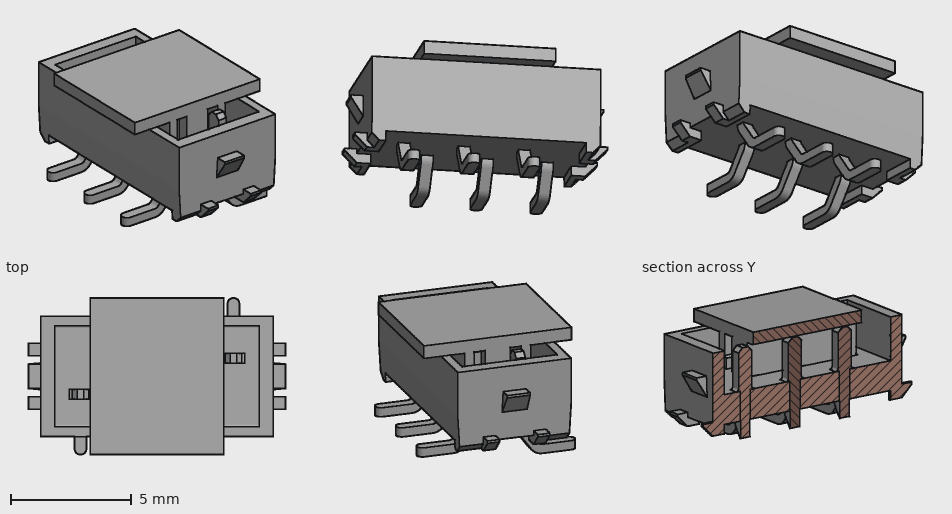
import cadquery as cq
import math


overall_length = 10.65
housing_length = 9.65
housing_width = 5.0
housing_foot_width = 4.8
lug_bottom_z = 1.0
base_z = 1.41
taper_z = 2.6
rim_z = 4.6

cavity_length = 8.46
cavity_width = 4.2
cavity_floor_z = 2.72
cavity_floor_radius = 0.1

lug_gap_width = 1.68
lug_chamfer = 0.31

catch_lip = 0.11
lower_catch_width = 0.53
lower_catch_top_z = 1.61
upper_catch_top_width = 1.0
upper_catch_bottom_width = 1.11
upper_catch_top_z = 3.5

pins_per_row = 3
pin_pitch = 1.27
row_y = 0.75
plate = 0.4
pin_width = 0.5
pin_reach = 3.25
bend_inner_radius = 0.2
strut_angle = 54.0
blade_width = 0.69
blade_top_z = 4.58
blade_chamfer = 0.2
blade_flare_radius = 0.13

cap_length = 5.55
cap_width = 6.5
cap_thickness = 0.55
grip_bottom_z = 3.1
outer_grip_y = 1.45
grip_relief = 0.1
relief_bottom_z = 3.57

half_length = housing_length / 2
half_cavity = cavity_length / 2
catch_reach = overall_length / 2
pin_inner_y = row_y - plate / 2
pin_outer_y = row_y + plate / 2
bend_outer_radius = bend_inner_radius + plate
rear_pins_x = [pin_pitch * (2 * i + 1.5 - pins_per_row) for i in range(pins_per_row)]


def box(x_range, y_range, z_range):
    """Box between the given limits on each axis."""
    (x0, x1), (y0, y1), (z0, z1) = x_range, y_range, z_range
    return cq.Workplane("XY").box(x1 - x0, y1 - y0, z1 - z0, centered=False).translate((x0, y0, z0))


def along_x(points, length):
    """Prism along X, centred on X = 0, from an outline of (y, z) points."""
    return cq.Workplane("YZ").polyline(points).close().extrude(length / 2, both=True)


def along_y(points, width):
    """Prism along Y, centred on Y = 0, from an outline of (x, z) points."""
    return cq.Workplane("XZ").polyline(points).close().extrude(width / 2, both=True)


def on_both_ends(left):
    """The shape at the -X end together with its mirror image at the +X end."""
    return left.union(left.mirror("YZ"))


def make_block():
    """Outer block: upright above, slightly tapered below, with a lug at each corner."""
    top = housing_width / 2
    foot = housing_foot_width / 2
    outline = [
        (-foot, lug_bottom_z),
        (foot, lug_bottom_z),
        (top, taper_z),
        (top, rim_z),
        (-top, rim_z),
        (-top, taper_z),
    ]
    block = along_x(outline, housing_length)
    block = block.faces("<Z").edges("<X or >X").chamfer(lug_chamfer)
    lug_height = (lug_bottom_z, base_z)
    block = block.cut(box((-half_cavity, half_cavity), (-top, top), lug_height))
    return block.cut(box((-half_length, half_length), (-lug_gap_width / 2, lug_gap_width / 2), lug_height))


def make_cavity():
    """Open cavity, rounded where its long walls meet the floor."""
    half_width = cavity_width / 2
    cavity = box((-half_cavity, half_cavity), (-half_width, half_width), (cavity_floor_z, rim_z))
    return cavity.faces("<Z").edges("|X").fillet(cavity_floor_radius)


def make_lower_catch(y):
    """Catch on the -X end of a lug, filling the lug's chamfer."""
    outline = [
        (-half_cavity, lower_catch_top_z),
        (-catch_reach, lower_catch_top_z),
        (-catch_reach, lower_catch_top_z - catch_lip),
        (-half_length, lug_bottom_z),
        (-half_cavity, lug_bottom_z),
    ]
    return along_y(outline, lower_catch_width).translate((0, y, 0))


def make_upper_catch():
    """Catch in the middle of the -X wall, narrower at its top."""
    wedge = along_y(
        [
            (-half_length, upper_catch_top_z),
            (-catch_reach, upper_catch_top_z),
            (-catch_reach, upper_catch_top_z - catch_lip),
            (-half_length, taper_z),
        ],
        upper_catch_bottom_width,
    )
    top = upper_catch_top_width / 2
    bottom = upper_catch_bottom_width / 2
    sides = along_x(
        [(-bottom, taper_z), (bottom, taper_z), (top, upper_catch_top_z), (-top, upper_catch_top_z)],
        overall_length,
    )
    return wedge.intersect(sides)


def in_both_rows(rear_shape):
    """Copies of a shape at every pin place, made for the rear row at X = 0."""
    rear = [rear_shape.translate((x, 0, 0)) for x in rear_pins_x]
    front = [shape.rotate((0, 0, 0), (0, 0, 1), 180) for shape in rear]
    return rear + front


def make_stem_slot():
    """Slot through the housing floor for the stem of a rear pin."""
    half_width = pin_width / 2
    return box((-half_width, half_width), (pin_inner_y, pin_outer_y), (base_z, cavity_floor_z))


def make_housing():
    body = make_block()
    lower_catch_y = (lug_gap_width + lower_catch_width) / 2
    for y in (-lower_catch_y, lower_catch_y):
        body = body.union(on_both_ends(make_lower_catch(y)))
    body = body.union(on_both_ends(make_upper_catch()))
    body = body.cut(make_cavity())
    for slot in in_both_rows(make_stem_slot()):
        body = body.cut(slot)
    return body


def arc_point(center, radius, degrees):
    """Point on a circle, at an angle from the horizontal axis of its upright plane."""
    angle = math.radians(degrees)
    return (center[0] + radius * math.cos(angle), center[1] + radius * math.sin(angle))


def make_pin_leg():
    """Stem, sloping strut and round-ended foot of a rear pin."""
    upper = (pin_outer_y + bend_inner_radius, base_z)
    drop = base_z - bend_outer_radius
    lower = (upper[0] + drop / math.tan(math.radians(strut_angle)), bend_outer_radius)
    stem, strut, foot = 180, 270 - strut_angle, 270
    upper_middle = (stem + strut) / 2
    lower_middle = (strut + foot) / 2
    inner = bend_inner_radius
    outer = bend_outer_radius
    leg = (
        cq.Workplane("YZ")
        .moveTo(pin_inner_y, cavity_floor_z)
        .lineTo(*arc_point(upper, outer, stem))
        .threePointArc(arc_point(upper, outer, upper_middle), arc_point(upper, outer, strut))
        .lineTo(*arc_point(lower, outer, strut))
        .threePointArc(arc_point(lower, outer, lower_middle), arc_point(lower, outer, foot))
        .lineTo(pin_reach, 0)
        .lineTo(pin_reach, plate)
        .lineTo(*arc_point(lower, inner, foot))
        .threePointArc(arc_point(lower, inner, lower_middle), arc_point(lower, inner, strut))
        .lineTo(*arc_point(upper, inner, strut))
        .threePointArc(arc_point(upper, inner, upper_middle), arc_point(upper, inner, stem))
        .lineTo(pin_outer_y, cavity_floor_z)
        .close()
        .extrude(pin_width / 2, both=True)
    )
    tip_radius = pin_width / 2
    tip_y = pin_reach - tip_radius
    square_tip = box((-tip_radius, tip_radius), (tip_y, pin_reach), (0, plate))
    round_tip = cq.Workplane("XY").center(0, tip_y).circle(tip_radius).extrude(plate)
    return leg.cut(square_tip).union(round_tip)


def make_pin_blade():
    """Flat contact blade above the floor, chamfered on top and flared at its foot."""
    half_width = blade_width / 2
    flare = blade_flare_radius
    flare_z = cavity_floor_z + flare
    flare_middle_angle = 225
    flare_middle = arc_point((half_width + flare, flare_z), flare, flare_middle_angle)
    return (
        cq.Workplane("XZ", origin=(0, pin_outer_y, 0))
        .moveTo(-half_width - flare, cavity_floor_z)
        .lineTo(half_width + flare, cavity_floor_z)
        .threePointArc(flare_middle, (half_width, flare_z))
        .lineTo(half_width, blade_top_z - blade_chamfer)
        .lineTo(half_width - blade_chamfer, blade_top_z)
        .lineTo(blade_chamfer - half_width, blade_top_z)
        .lineTo(-half_width, blade_top_z - blade_chamfer)
        .lineTo(-half_width, flare_z)
        .threePointArc((-flare_middle[0], flare_middle[1]), (-half_width - flare, cavity_floor_z))
        .close()
        .extrude(plate)
    )


def make_pin():
    """One pin of the rear row, centred on X = 0."""
    return make_pin_leg().union(make_pin_blade())


def make_outer_grip():
    """Rail of the cap that presses on the outer face of the rear pins, relieved above its grip."""
    relief_y = pin_outer_y + grip_relief
    outline = [
        (pin_outer_y, grip_bottom_z),
        (pin_outer_y, relief_bottom_z),
        (relief_y, relief_bottom_z + grip_relief),
        (relief_y, rim_z),
        (outer_grip_y, rim_z),
        (outer_grip_y, grip_bottom_z),
    ]
    return along_x(outline, cap_length)


def make_cap():
    """Flat plate resting on the rim, with a rail between the pin rows and one outside each row."""
    along = (-cap_length / 2, cap_length / 2)
    across = (-cap_width / 2, cap_width / 2)
    plate_z = (rim_z, rim_z + cap_thickness)
    cover = box(along, across, plate_z)
    centre_grip = box(along, (-pin_inner_y, pin_inner_y), (grip_bottom_z, rim_z))
    rear_grip = make_outer_grip()
    return cover.union(centre_grip).union(rear_grip).union(rear_grip.mirror("XZ"))


housing = make_housing()
pins = in_both_rows(make_pin())
cap = make_cap()

result = cq.Compound.makeCompound([housing.val(), *[pin.val() for pin in pins], cap.val()])